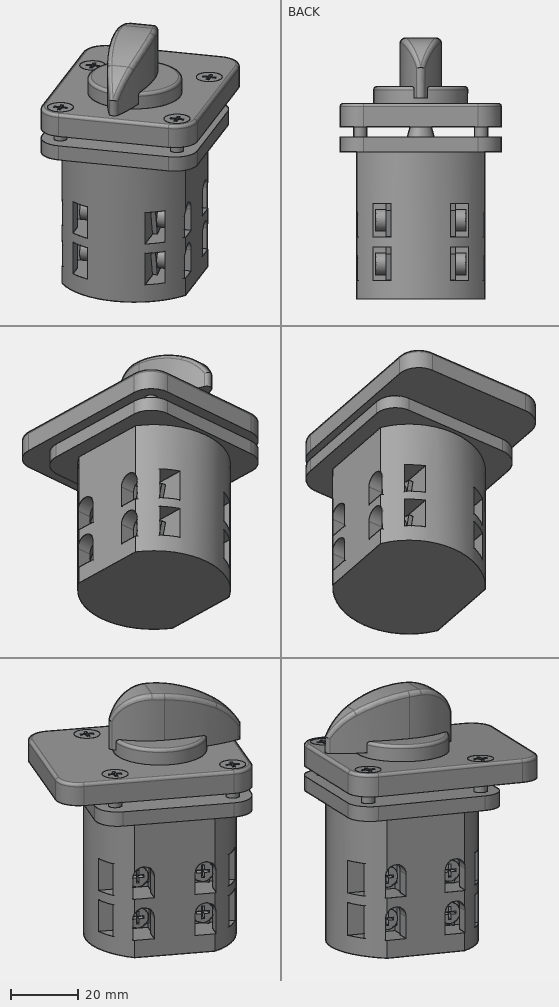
import cadquery as cq
import math


housing_radius = 22.75
housing_flat_offset = 19.1
housing_height = 43.8
flange_width = 48.0
flange_thickness = 4.5
corner_radius = 7.0
shaft_base_diameter = 8.0
shaft_draft = 15.0

plate_gap = 3.0
plate_length = 60.0
plate_thickness = 7.0
plate_edge_radius = 1.0

screw_spacing = 36.0
screw_diameter = 4.0
screw_head_diameter = 7.75
screw_engagement = 3.0

recess_length = 4.0
recess_width = 0.8
recess_depth = 1.2
recess_draft = 15.0

tier_bottoms = (5.5, 18.5)
chamber_height = 10.0
chamber_inner_x = 8.9
chamber_outer_x = 14.2
chamber_back_y = 5.75
opening_center_y = 9.5
opening_radius = 3.25
contact_thickness = 1.5
contact_width = 8.0
contact_length = 16.0
contact_tilt = 15.0
contact_end_y = 12.5
contact_lift = 0.2
terminal_screw_y = 10.0
terminal_head_radius = 3.25
terminal_head_height = 3.0

knob_base_diameter = 28.0
knob_base_height = 5.0
knob_base_edge_radius = 1.0
handle_gap = 1.5
handle_half_width = 6.2
handle_front_y = -26.59
handle_rear_y = 16.4
handle_top_z = 77.74
handle_crest_y = 3.6
handle_crest_radius = 12.5
handle_back_radius = 42.0
handle_back_angle = 28.5
handle_nose_radius = 20.5
handle_side_overrun = 2.0
handle_edge_radius = 1.5
handle_tip_radius = 1.5

flange_top = housing_height + flange_thickness
plate_bottom = flange_top + plate_gap
plate_top = plate_bottom + plate_thickness
handle_bottom = plate_top + handle_gap

plate_front_y = -flange_width / 2
chamber_width = chamber_outer_x - chamber_inner_x
contact_face_x = chamber_inner_x + contact_thickness
terminal_head_top_x = contact_face_x + terminal_head_height
screw_places = [
    (x, y)
    for x in (-screw_spacing / 2, screw_spacing / 2)
    for y in (-screw_spacing / 2, screw_spacing / 2)
]


def cross_recess(plane):
    """Tapered cross cutter; the plane lies on the screw head with its normal pointing into it."""
    face = cq.Workplane(plane)
    bar = face.rect(recess_length, recess_width).extrude(recess_depth, taper=recess_draft)
    cross_bar = face.rect(recess_width, recess_length).extrude(recess_depth, taper=recess_draft)
    return bar.union(cross_bar)


def screw_blank(x, y):
    """Shank and countersunk head, flush with the front of the plate, without the recess."""
    shank_bottom = flange_top - screw_engagement
    shank_radius = screw_diameter / 2
    head_radius = screw_head_diameter / 2
    head_bottom = plate_top - (head_radius - shank_radius)
    outline = [
        (0, shank_bottom),
        (shank_radius, shank_bottom),
        (shank_radius, head_bottom),
        (head_radius, plate_top),
        (0, plate_top),
    ]
    blank = cq.Workplane("XZ").polyline(outline).close().revolve(360, (0, 0), (0, 1))
    return blank.translate((x, y, 0))


def make_mounting_screw(x, y):
    head_face = cq.Plane(origin=(x, y, plate_top), xDir=(1, 0, 0), normal=(0, 0, -1))
    return screw_blank(x, y).cut(cross_recess(head_face))


def cut_screw_holes(body):
    """The body with a matching hole for every mounting screw."""
    for x, y in screw_places:
        body = body.cut(screw_blank(x, y))
    return body


def chamber_space(bottom):
    """Wire entry open to the +Y side, joined by an arched screwdriver opening on the +X flat."""
    entry = cq.Workplane("XY").box(
        chamber_width, housing_radius, chamber_height, centered=False
    ).translate((chamber_inner_x, chamber_back_y, bottom))
    arch_z = bottom + chamber_height - opening_radius
    opening = (
        cq.Workplane("YZ", origin=(chamber_outer_x, 0, 0))
        .moveTo(opening_center_y - opening_radius, bottom)
        .lineTo(opening_center_y + opening_radius, bottom)
        .lineTo(opening_center_y + opening_radius, arch_z)
        .threePointArc(
            (opening_center_y, bottom + chamber_height),
            (opening_center_y - opening_radius, arch_z),
        )
        .close()
        .extrude(housing_radius - chamber_outer_x)
    )
    return entry.union(opening)


def terminal(bottom):
    """Tilted contact bar on the inner wall, with its screw head; the bar runs on past the back wall."""
    bar = (
        cq.Workplane("YZ", origin=(chamber_inner_x, contact_end_y, bottom + contact_lift))
        .transformed(rotate=(0, 0, -contact_tilt))
        .rect(-contact_length, contact_width, centered=False)
        .extrude(contact_thickness)
    )
    screw_z = bottom + chamber_height / 2
    head = (
        cq.Workplane("YZ", origin=(contact_face_x, terminal_screw_y, screw_z))
        .circle(terminal_head_radius)
        .extrude(terminal_head_height)
    )
    head_face = cq.Plane(
        origin=(terminal_head_top_x, terminal_screw_y, screw_z), xDir=(0, 1, 0), normal=(-1, 0, 0)
    )
    return bar.union(head.cut(cross_recess(head_face)))


def in_all_quarters(shape):
    """The shape and its mirror images about the two upright middle planes."""
    half = shape.union(shape.mirror("YZ"))
    return half.union(half.mirror("XZ"))


def make_housing():
    """Barrel with the terminals left standing in their chambers, the flange and the shaft stub."""
    barrel = cq.Workplane("XY").circle(housing_radius).extrude(housing_height)
    flats = cq.Workplane("XY").rect(2 * housing_flat_offset, 2 * housing_radius).extrude(housing_height)
    body = barrel.intersect(flats)
    for bottom in tier_bottoms:
        space = chamber_space(bottom)
        body = body.cut(in_all_quarters(space.cut(terminal(bottom))))
    flange = (
        cq.Workplane("XY", origin=(0, 0, housing_height))
        .rect(flange_width, flange_width)
        .extrude(flange_thickness)
        .edges("|Z")
        .fillet(corner_radius)
    )
    shaft = (
        cq.Workplane("XY", origin=(0, 0, flange_top))
        .circle(shaft_base_diameter / 2)
        .extrude(plate_gap, taper=shaft_draft)
    )
    return cut_screw_holes(body.union(flange).union(shaft))


def lens_side(tip_y, y):
    """Point at y on the arc from the widest place of the handle to a tip on the Y axis."""
    radius = (handle_half_width**2 + tip_y**2) / (2 * handle_half_width)
    return handle_half_width - radius + math.sqrt(radius**2 - y**2), y


def lens_plan():
    """Upright prism over the whole plan of the handle, with rounded tips."""
    right_half = (
        cq.Workplane("XY", origin=(0, 0, handle_bottom))
        .moveTo(0, handle_front_y)
        .threePointArc(lens_side(handle_front_y, handle_front_y / 2), (handle_half_width, 0))
        .threePointArc(lens_side(handle_rear_y, handle_rear_y / 2), (0, handle_rear_y))
        .close()
        .extrude(handle_top_z - handle_bottom)
    )
    plan = right_half.union(right_half.mirror("YZ"))
    return plan.edges("|Z").edges("<Y or >Y").fillet(handle_tip_radius)


def one_side_plan():
    """Upright prism bounded on +X by the side of the handle, which runs on past both tips."""
    front_end = handle_front_y - handle_side_overrun
    rear_end = handle_rear_y + handle_side_overrun
    return (
        cq.Workplane("XY", origin=(0, 0, handle_bottom))
        .moveTo(-handle_half_width, front_end)
        .lineTo(*lens_side(handle_front_y, front_end))
        .threePointArc(lens_side(handle_front_y, front_end / 2), (handle_half_width, 0))
        .threePointArc(lens_side(handle_rear_y, rear_end / 2), lens_side(handle_rear_y, rear_end))
        .lineTo(-handle_half_width, rear_end)
        .close()
        .extrude(handle_top_z - handle_bottom)
    )


def on_arc(center, radius, angle):
    """Point on an arc in the YZ plane; the angle is 0 at the top and grows towards -Y."""
    turn = math.radians(angle)
    return center[0] - radius * math.sin(turn), center[1] + radius * math.cos(turn)


def handle_profile():
    """Side outline of the handle: a round rear, a long falling back and a rounded nose, all tangent."""
    crest_center = (handle_crest_y, handle_top_z - handle_crest_radius)
    back_center = (handle_crest_y, handle_top_z - handle_back_radius)
    nose_center = on_arc(back_center, handle_back_radius - handle_nose_radius, handle_back_angle)
    nose_end_angle = math.degrees(math.acos((handle_bottom - nose_center[1]) / handle_nose_radius))
    nose_middle_angle = (handle_back_angle + nose_end_angle) / 2
    rear_end = on_arc(crest_center, handle_crest_radius, -90)
    return (
        cq.Workplane("YZ", origin=(-handle_half_width, 0, 0))
        .moveTo(rear_end[0], handle_bottom)
        .lineTo(*rear_end)
        .threePointArc(on_arc(crest_center, handle_crest_radius, -45), (handle_crest_y, handle_top_z))
        .threePointArc(
            on_arc(back_center, handle_back_radius, handle_back_angle / 2),
            on_arc(back_center, handle_back_radius, handle_back_angle),
        )
        .threePointArc(
            on_arc(nose_center, handle_nose_radius, nose_middle_angle),
            on_arc(nose_center, handle_nose_radius, nose_end_angle),
        )
        .close()
        .extrude(2 * handle_half_width)
    )


def make_handle():
    """Handle with its top edges rounded; the roundings of the two sides meet at the tips."""
    side = one_side_plan().intersect(handle_profile())
    side = side.edges("%BSPLINE").fillet(handle_edge_radius)
    return side.intersect(side.mirror("YZ")).intersect(lens_plan())


def make_front_plate():
    """Plate, knob base and handle in one piece."""
    plate = (
        cq.Workplane("XY", origin=(0, plate_front_y + plate_length / 2, plate_bottom))
        .rect(flange_width, plate_length)
        .extrude(plate_thickness)
        .edges("|Z")
        .fillet(corner_radius)
        .faces(">Z")
        .edges()
        .fillet(plate_edge_radius)
    )
    knob_base = (
        cq.Workplane("XY", origin=(0, 0, plate_top))
        .circle(knob_base_diameter / 2)
        .extrude(knob_base_height)
        .faces(">Z")
        .edges()
        .fillet(knob_base_edge_radius)
    )
    return cut_screw_holes(plate).union(knob_base).union(make_handle())


housing = make_housing()
front_plate = make_front_plate()

screws = [make_mounting_screw(x, y) for x, y in screw_places]

result = cq.Compound.makeCompound(
    [housing.val(), front_plate.val(), *[screw.val() for screw in screws]]
)